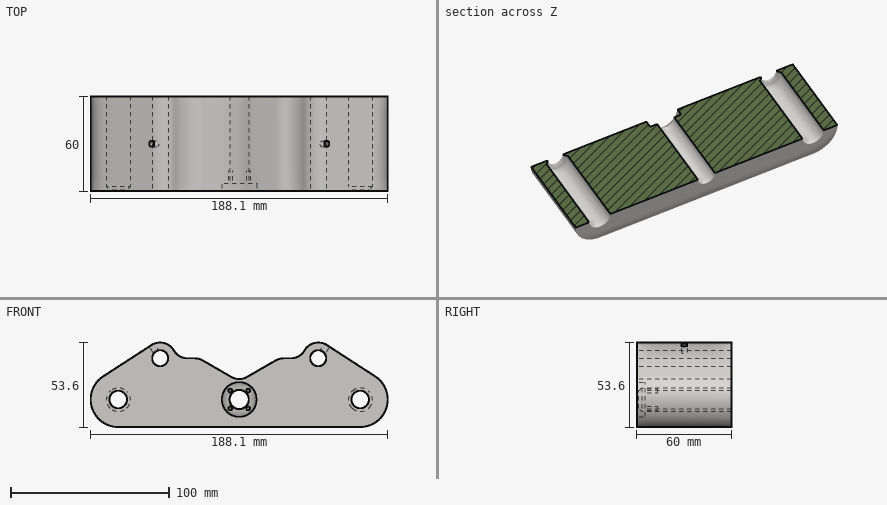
import cadquery as cq
import math

block_depth = 60.0
lobe_x = 76.54
lobe_radius = 17.5
horn_x = 50.0
horn_z = 26.12
horn_radius = 10.0

blend_radius = 10.0
shelf_z = horn_z
horn_blend_angle = math.radians(60)
ramp_angle = math.radians(30)
valley_z = 13.0

lobe_lip_diameter = 11.0
lobe_lip_length = 1.0
lobe_bore_diameter = 15.0
horn_hole_diameter = 10.0
cross_hole_diameter = 3.8
bore_diameter = 12.0
counterbore_diameter = 22.0
counterbore_depth = 5.0
screw_hole_diameter = 2.5
screw_hole_depth = 8.0
screw_circle_radius = 8.0

center_dx = lobe_x - horn_x
center_distance = math.hypot(center_dx, horn_z)
flank_angle = math.atan2(horn_z, center_dx) - math.asin((lobe_radius - horn_radius) / center_distance)


def on_circle(center, radius, angle_from_up):
    """Point on a circle, with the angle measured from +Z toward +X."""
    x, z = center
    return (x + radius * math.sin(angle_from_up), z + radius * math.cos(angle_from_up))


def block():
    """Left half of the profile, extruded along Y and mirrored."""
    lobe = (-lobe_x, 0.0)
    horn = (-horn_x, horn_z)
    horn_end = on_circle(horn, horn_radius, horn_blend_angle)
    notch = on_circle(horn, horn_radius + blend_radius, horn_blend_angle)
    shelf_start = (notch[0], shelf_z)

    valley = (0.0, valley_z + blend_radius)
    ramp_bottom = on_circle(valley, blend_radius, math.pi + ramp_angle)
    ramp_top_z = shelf_z - blend_radius * (1 - math.cos(ramp_angle))
    ramp_top_x = ramp_bottom[0] - (ramp_top_z - ramp_bottom[1]) / math.tan(ramp_angle)
    shelf_end = (ramp_top_x - blend_radius * math.sin(ramp_angle), shelf_z)
    crest = (shelf_end[0], shelf_z - blend_radius)

    half = (
        cq.Workplane("XZ")
        .moveTo(0, -lobe_radius)
        .lineTo(-lobe_x, -lobe_radius)
        .threePointArc((-lobe_x - lobe_radius, 0), on_circle(lobe, lobe_radius, -flank_angle))
        .lineTo(*on_circle(horn, horn_radius, -flank_angle))
        .threePointArc((-horn_x, horn_z + horn_radius), horn_end)
        .threePointArc(on_circle(notch, blend_radius, math.pi + horn_blend_angle / 2), shelf_start)
        .lineTo(*shelf_end)
        .threePointArc(on_circle(crest, blend_radius, ramp_angle / 2), (ramp_top_x, ramp_top_z))
        .lineTo(*ramp_bottom)
        .threePointArc(on_circle(valley, blend_radius, math.pi + ramp_angle / 2), (0, valley_z))
        .close()
        .extrude(-block_depth)
    )
    return half.union(half.mirror("YZ"))


def y_holes(points, diameter, end, start=0.0):
    """Round holes at the given (x, z) points, running along Y from start to end."""
    plane = cq.Workplane("XZ", origin=(0, start, 0))
    return plane.pushPoints(points).circle(diameter / 2).extrude(start - end)


def cross_hole(side):
    """Hole square to the flank at the horn round, running into the horn hole."""
    outward = cq.Vector(side * math.sin(flank_angle), 0, math.cos(flank_angle))
    start = cq.Vector(side * horn_x, block_depth / 2, horn_z)
    length = 2 * horn_radius
    return cq.Workplane(cq.Solid.makeCylinder(cross_hole_diameter / 2, length, start, outward))


def bushing_bore(x, z):
    """Bore open at the back, closing through a 45 degree cone to a thin lip at the front."""
    lip_radius = lobe_lip_diameter / 2
    bore_radius = lobe_bore_diameter / 2
    cone_length = bore_radius - lip_radius
    bore_start = lobe_lip_length + cone_length
    cone_base = cq.Vector(x, lobe_lip_length, z)
    cone = cq.Solid.makeCone(lip_radius, bore_radius, cone_length, cone_base, cq.Vector(0, 1, 0))
    lip = y_holes([(x, z)], lobe_lip_diameter, lobe_lip_length)
    bore = y_holes([(x, z)], lobe_bore_diameter, block_depth, bore_start)
    return lip.union(cq.Workplane(cone)).union(bore)


def center_bore():
    """Through bore with a front counterbore and four screw holes in its floor."""
    offset = screw_circle_radius / math.sqrt(2)
    screw_points = [(sx * offset, sz * offset) for sx in (-1, 1) for sz in (-1, 1)]
    screw_end = counterbore_depth + screw_hole_depth
    bore = y_holes([(0, 0)], bore_diameter, block_depth)
    counterbore = y_holes([(0, 0)], counterbore_diameter, counterbore_depth)
    screws = y_holes(screw_points, screw_hole_diameter, screw_end, counterbore_depth)
    return bore.union(counterbore).union(screws)


result = block().cut(center_bore())
for side in (-1, 1):
    result = result.cut(bushing_bore(side * lobe_x, 0))
    result = result.cut(y_holes([(side * horn_x, horn_z)], horn_hole_diameter, block_depth))
    result = result.cut(cross_hole(side))